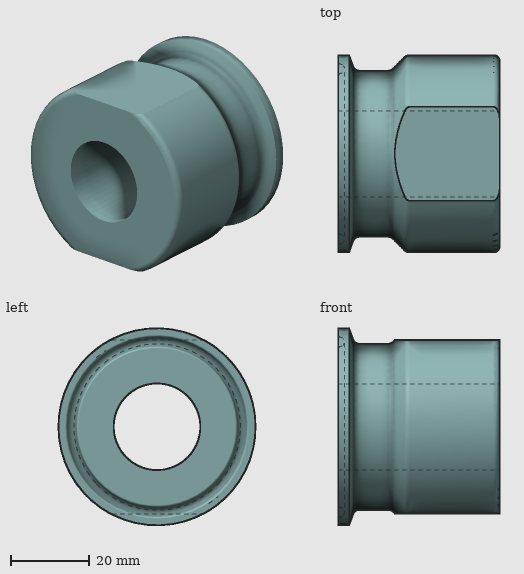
import cadquery as cq
import math

length = 41.3
outer_radius = 50.4 / 2
neck_radius = 42.55 / 2
bore_radius = 22.1 / 2

flange_rim_width = 2.75
flange_taper_angle = math.radians(20)
flange_back_end = flange_rim_width + (outer_radius - neck_radius) * math.tan(flange_taper_angle)

shoulder_start = 13.55
shoulder_end = shoulder_start + (outer_radius - neck_radius)
across_flats = 44.35

neck_fillet = 1.4
body_fillet = 1.6

groove_center_radius = 21.8
groove_depth = 1.55
groove_bottom_radius = 1.15
groove_lip_radius = 0.5
groove_wall_angle = math.radians(20)


def make_turned_body():
    """Solid of revolution without bore, groove or flats."""
    profile = [
        (0, 0),
        (0, outer_radius),
        (flange_rim_width, outer_radius),
        (flange_back_end, neck_radius),
        (shoulder_start, neck_radius),
        (shoulder_end, outer_radius),
        (length, outer_radius),
        (length, 0),
    ]
    return cq.Workplane("XY").polyline(profile).close().revolve(360, (0, 0), (1, 0))


def round_circle(body, x, circle_radius, fillet_radius):
    """Fillet the circular edge of the given radius that lies at position x."""
    tolerance = 0.005

    def is_wanted(edge):
        return (
            edge.geomType() == "CIRCLE"
            and abs(edge.Center().x - x) < tolerance
            and abs(edge.radius() - circle_radius) < tolerance
        )

    edges = body.edges().filter(is_wanted)
    return edges.fillet(fillet_radius)


def make_gasket_groove():
    """Ring whose section is the groove, symmetric about its centre radius."""
    sin_wall = math.sin(groove_wall_angle)
    cos_wall = math.cos(groove_wall_angle)

    bottom_offset = groove_bottom_radius * cos_wall
    bottom_x = groove_depth - groove_bottom_radius * (1 - sin_wall)
    lip_x = groove_lip_radius * (1 - sin_wall)
    wall_offset = bottom_offset + (bottom_x - lip_x) * math.tan(groove_wall_angle)
    edge_offset = wall_offset + groove_lip_radius * cos_wall

    lip_half_turn = (math.pi / 2 - groove_wall_angle) / 2
    lip_mid_offset = edge_offset - groove_lip_radius * math.sin(lip_half_turn)
    lip_mid_x = groove_lip_radius * (1 - math.cos(lip_half_turn))

    center = groove_center_radius
    section = (
        cq.Workplane("XY")
        .moveTo(0, center - edge_offset)
        .threePointArc((lip_mid_x, center - lip_mid_offset), (lip_x, center - wall_offset))
        .lineTo(bottom_x, center - bottom_offset)
        .threePointArc((groove_depth, center), (bottom_x, center + bottom_offset))
        .lineTo(lip_x, center + wall_offset)
        .threePointArc((lip_mid_x, center + lip_mid_offset), (0, center + edge_offset))
        .close()
    )
    return section.revolve(360, (0, 0), (1, 0))


def cut_wrench_flats(body):
    """Trim the body to the across-flats height along Z, leaving the flange whole."""
    start = flange_back_end + neck_fillet
    slab_height = outer_radius
    for side in (1, -1):
        slab = cq.Workplane("XY").box(
            length - start, 2 * outer_radius, slab_height, centered=(False, True, True)
        )
        body = body.cut(slab.translate((start, 0, side * (across_flats + slab_height) / 2)))
    return body


def make_bore():
    return cq.Workplane("YZ").circle(bore_radius).extrude(length)


body = make_turned_body()
body = round_circle(body, flange_back_end, neck_radius, neck_fillet)
body = round_circle(body, shoulder_start, neck_radius, neck_fillet)
body = round_circle(body, shoulder_end, outer_radius, body_fillet)
body = round_circle(body, length, outer_radius, body_fillet)
body = cut_wrench_flats(body)
result = body.cut(make_gasket_groove()).cut(make_bore())